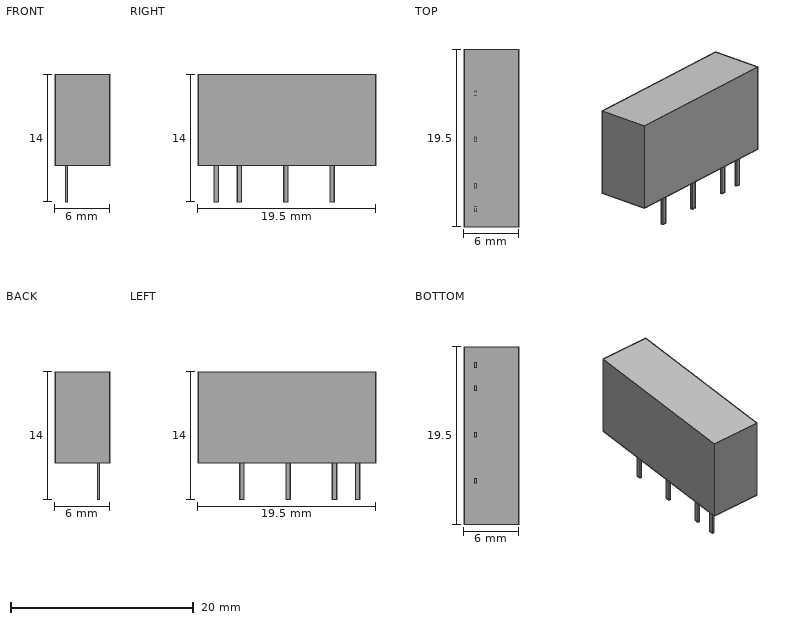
import cadquery as cq

BODY_WIDTH = 6.0
BODY_LENGTH = 19.5
BODY_HEIGHT = 10.0

PIN_THICKNESS = 0.25
PIN_WIDTH = 0.5
PIN_LENGTH = 4.0
PIN_PITCH = 2.54
PIN_POSITIONS = (0, 1, 3, 5)

PIN_ROW_INSET = 1.25
FIRST_PIN_INSET = 2.0


def make_body():
    """Plain rectangular block standing on Z = 0, with one corner at the origin."""
    return cq.Workplane("XY").box(BODY_WIDTH, BODY_LENGTH, BODY_HEIGHT, centered=False)


def make_pin(position):
    """Rectangular pin hanging from the body underside at a place on the pitch grid."""
    pin_y = FIRST_PIN_INSET + position * PIN_PITCH
    return (
        cq.Workplane("XY")
        .center(PIN_ROW_INSET, pin_y)
        .rect(PIN_THICKNESS, PIN_WIDTH)
        .extrude(-PIN_LENGTH)
    )


result = make_body()
for pin_position in PIN_POSITIONS:
    result = result.union(make_pin(pin_position))